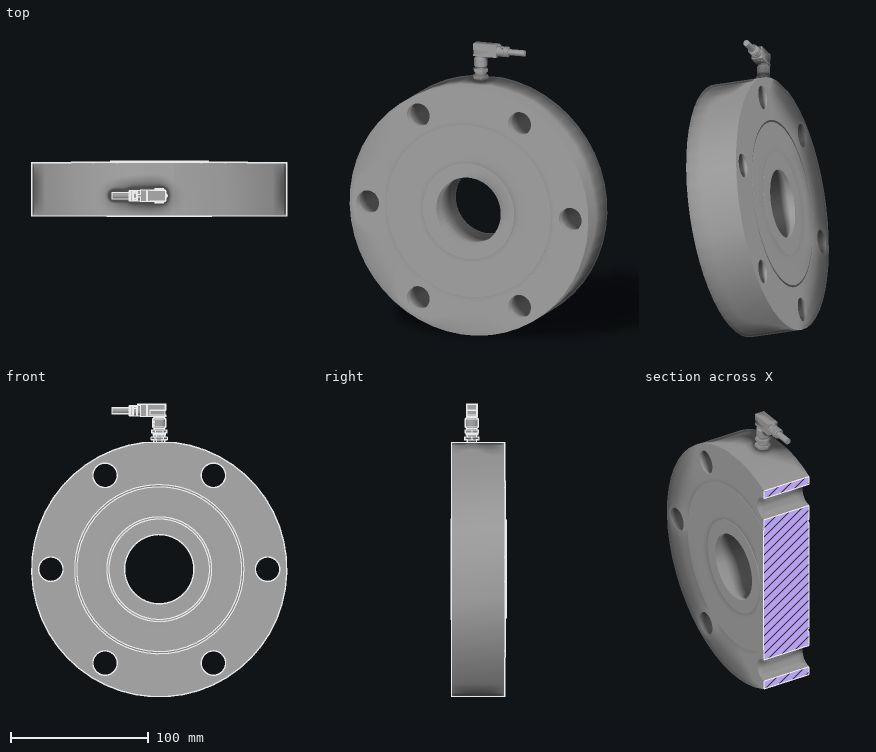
import cadquery as cq
import math

OVERALL_WIDTH = 40.0
RING_RADIUS = 92.5
BORE_RADIUS = 25.0
FRONT_STEP = 0.1
BACK_OUTER_STEP = 0.4
BACK_HUB_STEP = 0.6
FRONT_HUB_BASE_RADIUS = 38.0
FRONT_HUB_RADIUS = 36.4
BACK_PLATE_RADIUS = 63.75
BACK_HUB_RADIUS = 35.5
GROOVE_INNER_RADIUS = 59.7
GROOVE_OUTER_RADIUS = 61.3
GROOVE_DEPTH = 1.0
FRONT_Y = -OVERALL_WIDTH / 2
BACK_Y = OVERALL_WIDTH / 2
RING_FRONT_Y = FRONT_Y + 2 * FRONT_STEP
RING_BACK_Y = BACK_Y - BACK_HUB_STEP - BACK_OUTER_STEP

BOLT_COUNT = 6
BOLT_HOLE_DIAMETER = 17.5
BOLT_CIRCLE_RADIUS = 78.5

FLAT_WIDTH = 22.4
FLAT_Z = math.sqrt(RING_RADIUS**2 - (FLAT_WIDTH / 2) ** 2)

CONNECTOR_Y = -5.0
STEM_RADIUS = 4.0
STEM_ACROSS_FLATS = 7.0
STEM_TOP = 5.4
LOCKNUT_ACROSS_FLATS = 10.4
LOCKNUT_BOTTOM = 1.8
LOCKNUT_TOP = 4.0
LOCKNUT_CORNER_RADIUS = 6.0
LOCKNUT_CHAMFER = 0.4
SHOULDER_RADIUS = 4.4
SHOULDER_GROOVE_RADIUS = 4.0
SHOULDER_GROOVE_BOTTOM = 5.8
SHOULDER_GROOVE_TOP = 6.3
SOCKET_HEX_ACROSS_FLATS = 9.6
SOCKET_HEX_BOTTOM = 7.0
SOCKET_HEX_TOP = 9.1
NECK_RADIUS = 3.7
SLEEVE_BOTTOM = 10.0
SLEEVE_RADIUS = 4.8
SLEEVE_TOP_RADIUS = 3.9
SLEEVE_BEVEL_TOP = 11.2
SLEEVE_RIM = 16.9
SLEEVE_TOP = 18.0
GRIP_HEIGHTS = (12.2, 14.0, 15.2)
GRIP_WIDTH = 0.3
GRIP_DEPTH = 0.15
GRIP_RIGHT_X = -3.4

HOUSING_BOTTOM = 18.7
HOUSING_TOP = 27.8
HOUSING_WIDTH = 8.0
HOUSING_RIGHT_X = 4.8
HOUSING_LEFT_X = -13.4
HOUSING_END_CHAMFER = 0.5
LIP_LEFT_X = -15.6
LIP_THICKNESS = 0.8
LIP_WIDTH = 2.0
SEAM_X = -8.9
SEAM_WIDTH = 0.6
SEAM_DEPTH = 0.2
PANEL_LEFT_X = -6.7
PANEL_BOTTOM = 20.0
PANEL_TOP = 23.6
PANEL_DEPTH = 0.5
PANEL_LEDGE_HEIGHT = 0.6
OUTLET_Z = 22.95
GLAND_RADIUS = 3.85
GLAND_MOUTH_RADIUS = 3.2
GLAND_GROOVE_RADIUS = 3.2
GLAND_LEFT_X = -22.0
GLAND_RIM_X = -21.4
GLAND_GROOVES = ((-21.2, -20.4), (-19.3, -18.7), (-16.4, -15.8))
CROSS_HOLE_DIAMETER = 1.5
CROSS_HOLE_X = -17.55
CROSS_HOLE_RISE = 2.6
CABLE_RADIUS = 2.25
CABLE_LEFT_X = -34.3


def disc(radius, y_from, y_to):
    """Disc about the Y axis."""
    return cq.Workplane("XZ", origin=(0, y_from, 0)).circle(radius).extrude(y_from - y_to)


def hexagon(across_flats, bottom, top):
    """Upright hexagonal prism with two corners along X."""
    across_corners = across_flats / math.cos(math.pi / 6)
    return (
        cq.Workplane("XY", origin=(0, CONNECTOR_Y, FLAT_Z + bottom))
        .polygon(6, across_corners)
        .extrude(top - bottom)
    )


def upright(radius, bottom, top):
    """Cylinder on the vertical connector axis."""
    return cq.Workplane("XY", origin=(0, CONNECTOR_Y, FLAT_Z + bottom)).circle(radius).extrude(top - bottom)


def outlet_rod(radius, x_from, x_to):
    """Cylinder on the cable axis."""
    start = (x_from, CONNECTOR_Y, FLAT_Z + OUTLET_Z)
    return cq.Workplane("YZ", origin=start).circle(radius).extrude(x_to - x_from)


def block(x_from, x_to, width, bottom, top):
    """Box centred on the connector plane."""
    centre = ((x_from + x_to) / 2, CONNECTOR_Y, FLAT_Z + (bottom + top) / 2)
    return cq.Workplane("XY", origin=centre).box(x_to - x_from, width, top - bottom)


def make_ring():
    ring = disc(RING_RADIUS, RING_FRONT_Y, RING_BACK_Y)
    above_flat = (
        cq.Workplane("XY", origin=(0, 0, FLAT_Z))
        .rect(FLAT_WIDTH, OVERALL_WIDTH)
        .extrude(RING_RADIUS - FLAT_Z)
    )
    ring = ring.cut(above_flat)
    ring = ring.union(disc(BACK_PLATE_RADIUS, RING_BACK_Y, RING_BACK_Y + BACK_OUTER_STEP))
    ring = ring.union(disc(BACK_HUB_RADIUS, RING_BACK_Y, BACK_Y))
    ring = ring.union(disc(FRONT_HUB_BASE_RADIUS, RING_FRONT_Y - FRONT_STEP, RING_FRONT_Y))
    ring = ring.union(disc(FRONT_HUB_RADIUS, FRONT_Y, RING_FRONT_Y))
    ring = ring.cut(disc(BORE_RADIUS, FRONT_Y, BACK_Y))
    groove_floor_y = RING_FRONT_Y + GROOVE_DEPTH
    groove = disc(GROOVE_OUTER_RADIUS, RING_FRONT_Y, groove_floor_y)
    groove = groove.cut(disc(GROOVE_INNER_RADIUS, RING_FRONT_Y, groove_floor_y))
    ring = ring.cut(groove)
    for index in range(BOLT_COUNT):
        angle = 360 / BOLT_COUNT * index
        bolt_hole = disc(BOLT_HOLE_DIAMETER / 2, FRONT_Y, BACK_Y).translate((BOLT_CIRCLE_RADIUS, 0, 0))
        ring = ring.cut(bolt_hole.rotate((0, 0, 0), (0, 1, 0), angle))
    return ring


def stem_profile(bottom, top):
    """Round stem with two flats facing -Y and +Y."""
    flats = block(-STEM_RADIUS, STEM_RADIUS, STEM_ACROSS_FLATS, bottom, top)
    return upright(STEM_RADIUS, bottom, top).intersect(flats)


def make_socket():
    socket = stem_profile(0, STEM_TOP)
    socket = socket.union(upright(SHOULDER_RADIUS, STEM_TOP, SHOULDER_GROOVE_BOTTOM))
    socket = socket.union(upright(SHOULDER_GROOVE_RADIUS, SHOULDER_GROOVE_BOTTOM, SHOULDER_GROOVE_TOP))
    socket = socket.union(upright(SHOULDER_RADIUS, SHOULDER_GROOVE_TOP, SOCKET_HEX_BOTTOM))
    socket = socket.union(hexagon(SOCKET_HEX_ACROSS_FLATS, SOCKET_HEX_BOTTOM, SOCKET_HEX_TOP))
    return socket.union(upright(NECK_RADIUS, SOCKET_HEX_TOP, SLEEVE_BOTTOM))


def make_locknut():
    nut = hexagon(LOCKNUT_ACROSS_FLATS, LOCKNUT_BOTTOM, LOCKNUT_TOP)
    envelope = upright(LOCKNUT_CORNER_RADIUS, LOCKNUT_BOTTOM, LOCKNUT_TOP).edges().chamfer(LOCKNUT_CHAMFER)
    nut = nut.intersect(envelope)
    return nut.cut(stem_profile(LOCKNUT_BOTTOM, LOCKNUT_TOP))


def make_sleeve():
    sleeve = (
        cq.Workplane("XZ", origin=(0, CONNECTOR_Y, FLAT_Z))
        .moveTo(0, SLEEVE_BOTTOM)
        .lineTo(NECK_RADIUS, SLEEVE_BOTTOM)
        .lineTo(SLEEVE_RADIUS, SLEEVE_BEVEL_TOP)
        .lineTo(SLEEVE_RADIUS, SLEEVE_RIM)
        .lineTo(SLEEVE_TOP_RADIUS, SLEEVE_TOP)
        .lineTo(NECK_RADIUS, SLEEVE_TOP)
        .lineTo(NECK_RADIUS, HOUSING_BOTTOM)
        .lineTo(0, HOUSING_BOTTOM)
        .close()
        .revolve(360, (0, 0, 0), (0, 1, 0))
    )
    for height in GRIP_HEIGHTS:
        top = height + GRIP_WIDTH
        side = block(-SLEEVE_RADIUS, GRIP_RIGHT_X, 2 * SLEEVE_RADIUS, height, top)
        sleeve = sleeve.cut(side.cut(upright(SLEEVE_RADIUS - GRIP_DEPTH, height, top)))
    return sleeve


def panel_recess(depth, bottom, top):
    """Band of the given depth around the sides and the +X end of the housing."""
    band = block(PANEL_LEFT_X, HOUSING_RIGHT_X, HOUSING_WIDTH, bottom, top)
    core = block(PANEL_LEFT_X, HOUSING_RIGHT_X - depth, HOUSING_WIDTH - 2 * depth, bottom, top)
    return band.cut(core)


def make_housing():
    housing = block(HOUSING_LEFT_X, HOUSING_RIGHT_X, HOUSING_WIDTH, HOUSING_BOTTOM, HOUSING_TOP)
    housing = housing.edges("|Z and >X").chamfer(HOUSING_END_CHAMFER)
    lip_bottom = HOUSING_TOP - LIP_THICKNESS
    lip = block(LIP_LEFT_X, HOUSING_LEFT_X, LIP_WIDTH, lip_bottom, HOUSING_TOP)
    housing = housing.union(lip)
    seam_left = SEAM_X - SEAM_WIDTH / 2
    seam_right = SEAM_X + SEAM_WIDTH / 2
    seam = block(seam_left, seam_right, HOUSING_WIDTH, HOUSING_BOTTOM, HOUSING_TOP)
    seam = seam.cut(
        block(
            seam_left,
            seam_right,
            HOUSING_WIDTH - 2 * SEAM_DEPTH,
            HOUSING_BOTTOM + SEAM_DEPTH,
            HOUSING_TOP - SEAM_DEPTH,
        )
    )
    housing = housing.cut(seam)
    ledge_bottom = PANEL_TOP - PANEL_LEDGE_HEIGHT
    housing = housing.cut(panel_recess(PANEL_DEPTH, PANEL_BOTTOM, ledge_bottom))
    return housing.cut(panel_recess(PANEL_DEPTH / 2, ledge_bottom, PANEL_TOP))


def make_gland():
    mouth = (
        cq.Workplane("YZ", origin=(GLAND_LEFT_X, CONNECTOR_Y, FLAT_Z + OUTLET_Z))
        .circle(GLAND_MOUTH_RADIUS)
        .workplane(offset=GLAND_RIM_X - GLAND_LEFT_X)
        .circle(GLAND_RADIUS)
        .loft()
    )
    gland = mouth.union(outlet_rod(GLAND_RADIUS, GLAND_RIM_X, HOUSING_LEFT_X))
    for groove_left, groove_right in GLAND_GROOVES:
        band = outlet_rod(GLAND_RADIUS, groove_left, groove_right)
        gland = gland.cut(band.cut(outlet_rod(GLAND_GROOVE_RADIUS, groove_left, groove_right)))
    cross_hole = (
        cq.Workplane("XZ", origin=(CROSS_HOLE_X, CONNECTOR_Y, FLAT_Z + OUTLET_Z + CROSS_HOLE_RISE))
        .circle(CROSS_HOLE_DIAMETER / 2)
        .extrude(GLAND_RADIUS, both=True)
    )
    return gland.cut(cross_hole)


ring = make_ring()
socket = make_socket()
locknut = make_locknut()
sleeve = make_sleeve()
housing = make_housing()
gland = make_gland()
cable = outlet_rod(CABLE_RADIUS, CABLE_LEFT_X, GLAND_LEFT_X)

result = cq.Compound.makeCompound(
    [ring.val(), socket.val(), locknut.val(), sleeve.val(), housing.val(), gland.val(), cable.val()]
)